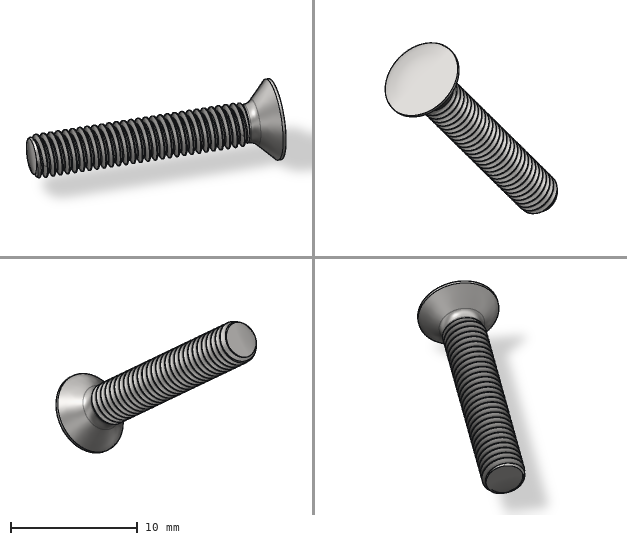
import cadquery as cq
import math


SCREW_LENGTH = 20.0
HEAD_RADIUS = 6.5 / 2
HEAD_RIM_HEIGHT = 0.25
CONE_ANGLE = math.radians(45)
THREAD_RADIUS = 3.5 / 2
PITCH = 0.6

NECK_RADIUS = 1.55
NECK_FILLET_RADIUS = 0.95
THREAD_START = 2.48

TIP_RADIUS = 1.5
TIP_ANGLE = math.radians(30)

FLANK_ANGLE = math.radians(30)
TRIANGLE_HEIGHT = PITCH / 2 / math.tan(FLANK_ANGLE)
THREAD_DEPTH = TRIANGLE_HEIGHT * 17 / 24
ROOT_RADIUS = THREAD_RADIUS - THREAD_DEPTH
ROOT_FLAT = PITCH / 6
CREST_DISTANCE = 2.98

CUTTER_CLEARANCE = 0.03
END_TURNS = 3
MIDDLE_TURNS = 27


def revolve_about_y(profile):
    """Closed profile in the ZY plane turned a full revolution about the Y axis."""
    return profile.revolve(360, (0, 0, 0), (0, 1, 0))


def make_head():
    """Head rim, 90 degree countersink, concave fillet and neck as one revolved body."""
    cone_end_radius = NECK_RADIUS + NECK_FILLET_RADIUS * (1 - math.cos(CONE_ANGLE))
    cone_end_y = -HEAD_RIM_HEIGHT - (HEAD_RADIUS - cone_end_radius) / math.tan(CONE_ANGLE)
    fillet_end_y = cone_end_y - NECK_FILLET_RADIUS * math.sin(CONE_ANGLE)

    mid_angle = CONE_ANGLE / 2
    fillet_middle = (
        NECK_RADIUS + NECK_FILLET_RADIUS * (1 - math.cos(mid_angle)),
        fillet_end_y + NECK_FILLET_RADIUS * math.sin(mid_angle),
    )
    profile = (
        cq.Workplane("ZY")
        .lineTo(HEAD_RADIUS, 0)
        .lineTo(HEAD_RADIUS, -HEAD_RIM_HEIGHT)
        .lineTo(cone_end_radius, cone_end_y)
        .threePointArc(fillet_middle, (NECK_RADIUS, fillet_end_y))
        .lineTo(NECK_RADIUS, -THREAD_START)
        .lineTo(0, -THREAD_START)
        .close()
    )
    return revolve_about_y(profile)


def make_thread_blank():
    """Cylinder at the major diameter, chamfered to the neck radius above and to the tip radius below."""
    neck_chamfer = THREAD_RADIUS - NECK_RADIUS
    tip_chamfer_height = (THREAD_RADIUS - TIP_RADIUS) / math.tan(TIP_ANGLE)
    profile = (
        cq.Workplane("ZY")
        .moveTo(0, -THREAD_START)
        .lineTo(NECK_RADIUS, -THREAD_START)
        .lineTo(THREAD_RADIUS, -THREAD_START - neck_chamfer)
        .lineTo(THREAD_RADIUS, -SCREW_LENGTH + tip_chamfer_height)
        .lineTo(TIP_RADIUS, -SCREW_LENGTH)
        .lineTo(0, -SCREW_LENGTH)
        .close()
    )
    return revolve_about_y(profile)


def make_groove(turns, start_y):
    """Right-handed trapezoidal groove, rising toward +Y from the +X side at start_y."""
    outer_radius = THREAD_RADIUS + CUTTER_CLEARANCE
    half_root = ROOT_FLAT / 2
    half_mouth = half_root + (outer_radius - ROOT_RADIUS) * math.tan(FLANK_ANGLE)

    corners = [
        (ROOT_RADIUS, -half_root),
        (outer_radius, -half_mouth),
        (outer_radius, half_mouth),
        (ROOT_RADIUS, half_root),
    ]
    helices = [
        cq.Wire.makeHelix(PITCH, turns * PITCH, radius).translate(cq.Vector(0, 0, offset))
        for radius, offset in corners
    ]

    next_helices = helices[1:] + helices[:1]
    faces = [cq.Face.makeRuledSurface(a, b) for a, b in zip(helices, next_helices)]
    start_section = cq.Wire.makePolygon([helix.startPoint() for helix in helices], close=True)
    end_section = cq.Wire.makePolygon([helix.endPoint() for helix in helices], close=True)
    faces.append(cq.Face.makeFromWires(start_section))
    faces.append(cq.Face.makeFromWires(end_section))
    groove = cq.Solid.makeSolid(cq.Shell.makeShell(faces))

    return cq.Workplane(obj=groove).rotate((0, 0, 0), (1, 0, 0), -90).translate((0, start_y, 0))


def make_threaded_shank():
    """Chamfered blank with the groove cut as three pieces that meet end to end."""
    first_groove_y = -CREST_DISTANCE + PITCH / 2
    top_y = first_groove_y - PITCH
    middle_y = top_y - MIDDLE_TURNS * PITCH
    bottom_y = middle_y - END_TURNS * PITCH

    shank = make_thread_blank()
    pieces = [(END_TURNS, top_y), (MIDDLE_TURNS, middle_y), (END_TURNS, bottom_y)]
    for turns, start_y in pieces:
        shank = shank.cut(make_groove(turns, start_y), clean=False)
    return shank


result = make_head().union(make_threaded_shank(), clean=False)